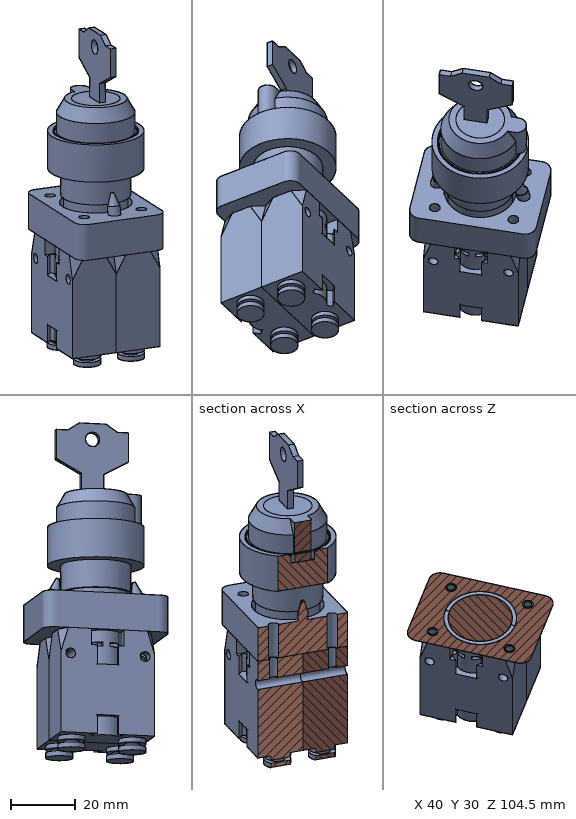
import cadquery as cq

block_bottom = 4.0
block_top = 37.0
plate_top = 48.6
neck_step = 51.1
ring_bottom = 59.8
ring_top = 71.9
cone_bottom = 78.0
knob_top = 82.3
key_top = 104.5

plate_length = 40.0
plate_width = 30.0
plate_corner_radius = 3.6
plate_bore_diameter = 22.5
screw_hole_diameter = 3.2
screw_pilot_diameter = 2.4
screw_hole_x = 12.4
screw_hole_y = 9.8
claw_x = 13.7
claw_lean = 13.0
claw_diameter = 4.0
claw_cone_diameter = 3.7
claw_tip_diameter = 1.0
claw_shoulder_height = 2.6
claw_height = 6.7

ring_diameter = 30.0
recess_mouth_diameter = 26.5
recess_diameter = 26.0
mouth_depth = 0.6
recess_depth = 3.1
neck_diameter = 21.7
lower_neck_diameter = 20.0

knob_diameter = 24.5
knob_top_diameter = 19.4
collar_diameter = 25.5
collar_drop = 0.3
collar_top = ring_top - collar_drop
pointer_reach = 14.5
pointer_width = 6.0

lock_diameter = 15.0
key_thickness = 2.0
key_x = 1.3
key_width = 23.1
key_shoulder_width = 15.9
key_top_width = 8.6
key_stem_width = 7.2
key_shoulder_drop = 2.4
key_hole_drop = 5.0
key_lower_corner_drop = 11.6
key_stem_drop = 15.9
key_hole_diameter = 4.5

block_length = 30.0
block_width = plate_width / 2
corner_cut_x = 2.3
corner_cut_y = 4.2
corner_cut_z = 7.5
cross_hole_diameter = 3.0
cross_hole_x = 11.9
cross_hole_z = 28.9
recess_width = 10.5
recess_bottom = 32.0
slot_width = 6.7
upper_slot_bottom = 25.9
lower_slot_top = 9.9
post_radius = 5.6
post_setback = 1.7
recess_back = 4.0
slot_flare_depth = 1.8
notch_inner_x = 1.1
notch_outer_x = 4.1
notch_height = 1.3
notch_back = 3.5
foot_x = 9.7
foot_diameter = 8.5
foot_waist_diameter = 5.0
foot_flange_thickness = 1.6
foot_waist_thickness = 0.9


def disc(diameter, bottom, top):
    """Upright cylinder on the Z axis between two heights."""
    return cq.Workplane("XY").workplane(offset=bottom).circle(diameter / 2).extrude(top - bottom)


def box(x_min, x_max, y_min, y_max, z_min, z_max):
    """Axis-aligned block between its limits."""
    return cq.Workplane("XY").box(
        x_max - x_min, y_max - y_min, z_max - z_min, centered=False
    ).translate((x_min, y_min, z_min))


def make_claw(side):
    """Round stub with a conical tip, leaning toward the plate middle; its foot is buried in the plate."""
    buried = claw_diameter / 2
    upright = (
        cq.Workplane("XZ")
        .moveTo(0, -buried)
        .lineTo(claw_diameter / 2, -buried)
        .lineTo(claw_diameter / 2, claw_shoulder_height)
        .lineTo(claw_cone_diameter / 2, claw_shoulder_height)
        .lineTo(claw_tip_diameter / 2, claw_height)
        .lineTo(0, claw_height)
        .close()
        .revolve(360, (0, 0), (0, 1))
    )
    leaning = upright.rotate((0, 0, 0), (0, 1, 0), -side * claw_lean)
    return leaning.translate((side * claw_x, 0, plate_top))


def make_plate():
    plate = (
        cq.Workplane("XY")
        .workplane(offset=block_top)
        .rect(plate_length, plate_width)
        .extrude(plate_top - block_top)
        .edges("|Z")
        .fillet(plate_corner_radius)
        .cut(disc(plate_bore_diameter, block_top, plate_top))
    )
    screw_hole = disc(screw_hole_diameter, block_top, plate_top)
    for side in (-1, 1):
        plate = plate.union(make_claw(side))
        for y in (-screw_hole_y, screw_hole_y):
            plate = plate.cut(screw_hole.translate((side * screw_hole_x, y, 0)))
    return plate


def make_bezel():
    ring = disc(ring_diameter, ring_bottom, ring_top)
    neck = disc(neck_diameter, neck_step, ring_bottom)
    lower_neck = disc(lower_neck_diameter, block_top, neck_step)
    recess = disc(recess_diameter, ring_top - recess_depth, ring_top)
    mouth = disc(recess_mouth_diameter, ring_top - mouth_depth, ring_top)
    return ring.union(neck).union(lower_neck).cut(recess).cut(mouth)


def make_knob():
    knob_bottom = ring_top - recess_depth
    turned = (
        cq.Workplane("XZ")
        .moveTo(0, knob_bottom)
        .lineTo(collar_diameter / 2, knob_bottom)
        .lineTo(collar_diameter / 2, collar_top)
        .lineTo(knob_diameter / 2, collar_top)
        .lineTo(knob_diameter / 2, cone_bottom)
        .lineTo(knob_top_diameter / 2, knob_top)
        .lineTo(0, knob_top)
        .close()
        .revolve(360, (0, 0), (0, 1))
    )
    half_width = pointer_width / 2
    nose_start = -pointer_reach + half_width
    pointer = (
        cq.Workplane("XY")
        .workplane(offset=ring_top)
        .moveTo(0, -half_width)
        .lineTo(nose_start, -half_width)
        .threePointArc((-pointer_reach, 0), (nose_start, half_width))
        .lineTo(0, half_width)
        .close()
        .extrude(knob_top - ring_top)
    )
    return turned.union(pointer).cut(disc(lock_diameter, knob_bottom, knob_top))


def make_lock_cylinder():
    return disc(lock_diameter, ring_top - recess_depth, knob_top)


def make_key():
    """Flat key standing on the lock face."""
    right_side = [
        (key_stem_width / 2, knob_top),
        (key_stem_width / 2, key_top - key_stem_drop),
        (key_width / 2, key_top - key_lower_corner_drop),
        (key_width / 2, key_top - key_shoulder_drop),
        (key_shoulder_width / 2, key_top - key_shoulder_drop),
        (key_top_width / 2, key_top),
    ]
    left_side = [(-x, z) for x, z in reversed(right_side)]
    blade = cq.Workplane("XZ").polyline(right_side + left_side).close().extrude(key_thickness / 2, both=True)
    hole = (
        cq.Workplane("XZ")
        .center(0, key_top - key_hole_drop)
        .circle(key_hole_diameter / 2)
        .extrude(key_thickness, both=True)
    )
    return blade.cut(hole).translate((key_x, 0, 0))


def make_corner_cut(x, y, x_inward, y_inward):
    """Tetrahedron that bevels one upper corner of a block."""
    corner = cq.Vector(x, y, block_top)
    along_x = cq.Vector(x + x_inward * corner_cut_x, y, block_top)
    along_y = cq.Vector(x, y + y_inward * corner_cut_y, block_top)
    below = cq.Vector(x, y, block_top - corner_cut_z)
    triangles = [
        (corner, along_x, along_y),
        (corner, along_x, below),
        (corner, along_y, below),
        (along_x, along_y, below),
    ]
    faces = [cq.Face.makeFromWires(cq.Wire.makePolygon(t, close=True)) for t in triangles]
    return cq.Workplane(cq.Solid.makeSolid(cq.Shell.makeShell(faces)))


def make_flared_slot(bottom, top):
    """Slot in the front face that widens to the recess width and narrows again behind at 45 degrees."""
    face = -block_width
    narrowing = recess_back - slot_flare_depth
    right_side = [
        (slot_width / 2, face),
        (recess_width / 2, face + slot_flare_depth),
        (recess_width / 2 - narrowing, face + recess_back),
    ]
    left_side = [(-x, y) for x, y in reversed(right_side)]
    outline = cq.Workplane("XY").workplane(offset=bottom).polyline(right_side + left_side).close()
    return outline.extrude(top - bottom)


def make_front_recess():
    """T-shaped recess and bottom slot, leaving a rounded post standing behind them."""
    face = -block_width
    back = face + recess_back
    half_recess = recess_width / 2
    opening = (
        box(-half_recess, half_recess, face, back, recess_bottom, block_top)
        .union(make_flared_slot(upper_slot_bottom, recess_bottom))
        .union(make_flared_slot(block_bottom, lower_slot_top))
    )
    post = disc(2 * post_radius, block_bottom, block_top).translate((0, face + post_setback + post_radius, 0))
    opening = opening.cut(post)
    for x_min, x_max in ((-notch_outer_x, -notch_inner_x), (notch_inner_x, notch_outer_x)):
        notch = box(x_min, x_max, face, face + notch_back, recess_bottom, recess_bottom + notch_height)
        opening = opening.union(notch)
    return opening


def make_foot(x):
    """Terminal screw: two flanges joined by a waist."""
    foot = (
        disc(foot_diameter, 0, foot_flange_thickness)
        .union(disc(foot_waist_diameter, 0, block_bottom))
        .union(disc(foot_diameter, foot_flange_thickness + foot_waist_thickness, block_bottom))
    )
    return foot.translate((x, -block_width / 2, 0))


def make_contact_block():
    """Block on the -Y half, with its back on the XZ plane."""
    half_length = block_length / 2
    block = box(-half_length, half_length, -block_width, 0, block_bottom, block_top)
    block = block.cut(make_front_recess())
    for side in (-1, 1):
        block = block.cut(make_corner_cut(side * half_length, -block_width, -side, 1))
        block = block.cut(make_corner_cut(side * half_length, 0, -side, -1))
        hole = (
            cq.Workplane("XZ")
            .center(side * cross_hole_x, cross_hole_z)
            .circle(cross_hole_diameter / 2)
            .extrude(block_width)
        )
        pilot = disc(screw_pilot_diameter, cross_hole_z, block_top)
        pilot = pilot.translate((side * screw_hole_x, -screw_hole_y, 0))
        block = block.cut(hole).cut(pilot).union(make_foot(side * foot_x))
    return block


plate = make_plate()
bezel = make_bezel()
knob = make_knob()
lock_cylinder = make_lock_cylinder()
key = make_key()
contact_blocks = []
for turn in (0, 180):
    contact_blocks.append(make_contact_block().rotate((0, 0, 0), (0, 0, 1), turn))

result = cq.Compound.makeCompound([
    plate.val(),
    bezel.val(),
    knob.val(),
    lock_cylinder.val(),
    key.val(),
    *[block.val() for block in contact_blocks],
])